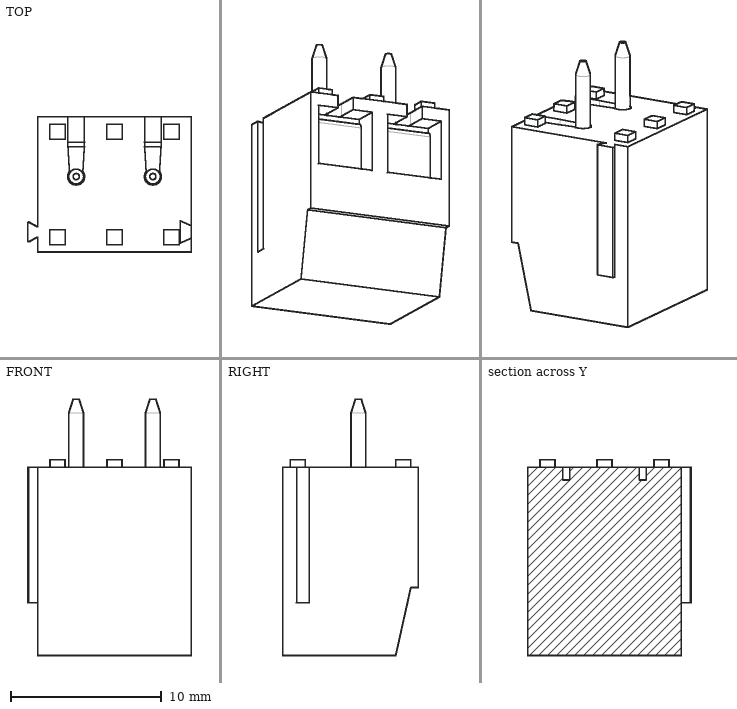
import cadquery as cq


body_width = 10.2
body_depth = 9.0
body_height = 12.5
lower_back_height = 4.5
undercut_step = 0.5
undercut_depth = 1.5

foot_size = 1.0
foot_height = 0.5
foot_pitch = 3.77
foot_inset = 1.0

rail_y = 1.35
rail_length = body_depth
rail_projection = 0.66
rail_neck_half = 0.34
rail_outer_half = 0.66
rail_corner = 0.08
socket_clearance = 0.07

pole_pitch = 5.08
pin_y = 5.02
pin_radius = 0.5
pin_tip_radius = 0.2
pin_tip_length = 0.92
pin_top = 17.0
pin_embedment = 0.85

recess_radius = 0.56
recess_depth = 0.85
slot_width = 1.1
slot_straight_length = 1.84
slot_narrow_width = 0.85

chamber_width = 3.95
chamber_height = 4.0
chamber_depth = 2.0
chamber_lip = 0.3
chamber_lip_drop = 0.34

recess_floor = body_height - recess_depth
pole_positions = [-pole_pitch / 2, pole_pitch / 2]


def make_body_block():
    """Side profile in YZ, extruded across the full width."""
    profile = [
        (0, 0),
        (body_depth - undercut_depth, 0),
        (body_depth - undercut_step, lower_back_height),
        (body_depth, lower_back_height),
        (body_depth, body_height),
        (0, body_height),
    ]
    return (
        cq.Workplane("YZ")
        .workplane(offset=-body_width / 2)
        .polyline(profile)
        .close()
        .extrude(body_width)
    )


def make_feet():
    foot_y_positions = [foot_inset, body_depth - foot_inset]
    centres = [(column * foot_pitch, y) for column in (-1, 0, 1) for y in foot_y_positions]
    return (
        cq.Workplane("XY", origin=(0, 0, body_height))
        .pushPoints(centres)
        .rect(foot_size, foot_size)
        .extrude(foot_height)
    )


def extrude_down_from_top(points):
    """Dovetail prism with the given XY outline, running down from the top face."""
    return (
        cq.Workplane("XY", origin=(0, 0, body_height))
        .polyline(points)
        .close()
        .extrude(-rail_length)
    )


def make_rail():
    root_x = -body_width / 2
    outer_x = root_x - rail_projection
    return extrude_down_from_top([
        (root_x, rail_y - rail_neck_half),
        (outer_x + rail_corner, rail_y - rail_outer_half),
        (outer_x, rail_y - rail_outer_half + rail_corner),
        (outer_x, rail_y + rail_outer_half - rail_corner),
        (outer_x + rail_corner, rail_y + rail_outer_half),
        (root_x, rail_y + rail_neck_half),
    ])


def make_socket():
    mouth_x = body_width / 2
    inner_x = mouth_x - rail_projection - socket_clearance
    neck_half = rail_neck_half + socket_clearance
    inner_half = rail_outer_half + socket_clearance
    return extrude_down_from_top([
        (mouth_x, rail_y - neck_half),
        (inner_x, rail_y - inner_half),
        (inner_x, rail_y + inner_half),
        (mouth_x, rail_y + neck_half),
    ])


def make_recess(pole_x):
    """Round recess at the pin plus the slot that widens towards the back."""
    round_recess = (
        cq.Workplane("XY", origin=(pole_x, pin_y, recess_floor))
        .circle(recess_radius)
        .extrude(recess_depth)
    )
    taper_y = body_depth - slot_straight_length
    slot = (
        cq.Workplane("XY", origin=(pole_x, 0, recess_floor))
        .polyline([
            (-slot_narrow_width / 2, pin_y),
            (slot_narrow_width / 2, pin_y),
            (slot_width / 2, taper_y),
            (slot_width / 2, body_depth),
            (-slot_width / 2, body_depth),
            (-slot_width / 2, taper_y),
        ])
        .close()
        .extrude(recess_depth)
    )
    return round_recess.union(slot)


def make_chamber(pole_x):
    """Wire chamber under the slot; its inner end has a rounded step."""
    inner_y = body_depth - chamber_depth
    lip_y = inner_y + chamber_lip
    lip_top = recess_floor - chamber_lip_drop
    chamber_floor = recess_floor - chamber_height
    return (
        cq.Workplane("YZ", origin=(pole_x - chamber_width / 2, 0, 0))
        .moveTo(body_depth, chamber_floor)
        .lineTo(body_depth, recess_floor)
        .lineTo(inner_y, recess_floor)
        .lineTo(inner_y, lip_top)
        .radiusArc((lip_y, lip_top - chamber_lip), chamber_lip)
        .lineTo(lip_y, chamber_floor)
        .close()
        .extrude(chamber_width)
    )


def make_pin(pole_x):
    """Round pin with a tapered tip, revolved about its own axis."""
    return (
        cq.Workplane("XZ", origin=(pole_x, pin_y, 0))
        .polyline([
            (0, recess_floor - pin_embedment),
            (pin_radius, recess_floor - pin_embedment),
            (pin_radius, pin_top - pin_tip_length),
            (pin_tip_radius, pin_top),
            (0, pin_top),
        ])
        .close()
        .revolve(360, (0, 0, 0), (0, 1, 0))
    )


pins = [make_pin(pole_x) for pole_x in pole_positions]

housing = make_body_block().union(make_feet()).union(make_rail()).cut(make_socket())
for pole_x, pin in zip(pole_positions, pins):
    housing = housing.cut(make_recess(pole_x)).cut(make_chamber(pole_x)).cut(pin)

result = cq.Compound.makeCompound([housing.val(), *[pin.val() for pin in pins]])